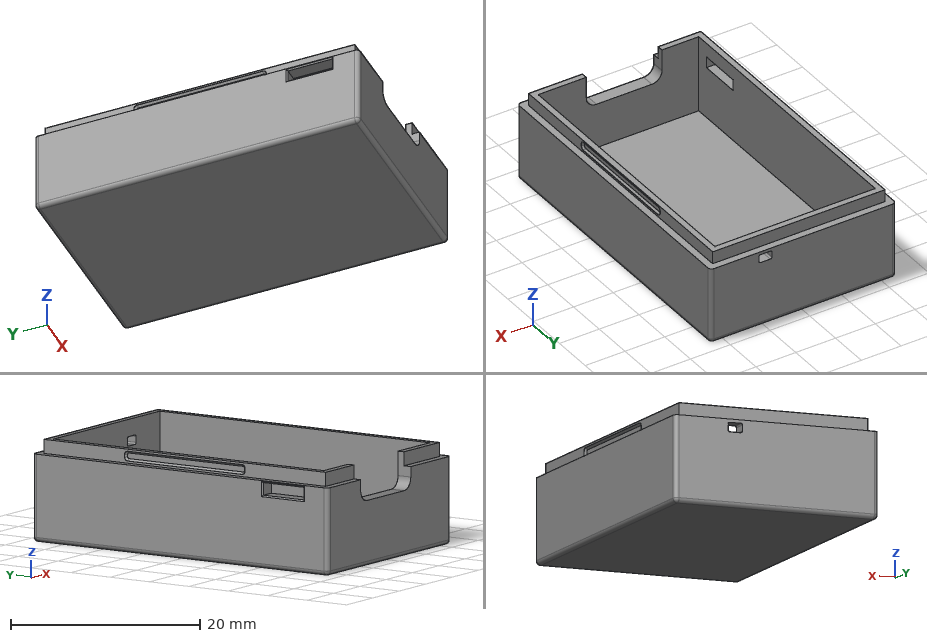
import cadquery as cq

width = 23.4
length = 37.5
height = 10.9
edge_radius = 0.5

rim_height = 1.5
rim_inset = 0.85
wall = 1.6
floor = 1.5
shoulder_z = height - rim_height

notch_width = 9.52
notch_depth = 3.9
notch_radius = 1.28
notch_x = -0.7

window_length = 5.45
window_height = 1.65
window_chamfer = 0.15
window_top_gap = 0.08
window_y = -13.05

groove_length = 15.3
groove_height = 1.05
groove_depth = 0.25
groove_corner = 0.4
groove_bevel = 0.22
groove_z = shoulder_z + rim_height / 2

hole_width = 1.6
hole_height = 1.0
hole_radius = 0.2
hole_x = 4.75
hole_z = 8.55


def block(size_x, size_y, bottom, top):
    """Box centred in X and Y between two heights."""
    return (
        cq.Workplane("XY", origin=(0, 0, bottom))
        .box(size_x, size_y, top - bottom, centered=(True, True, False))
    )


def make_shell():
    body = block(width, length, 0, shoulder_z)
    body = body.edges("|Z or <Z").fillet(edge_radius)
    rim = block(width - 2 * rim_inset, length - 2 * rim_inset, floor, height)
    cavity = block(width - 2 * wall, length - 2 * wall, floor, height)
    return body.union(rim).cut(cavity)


def make_notch():
    cutter = block(notch_width, 2 * wall, height - notch_depth, height)
    cutter = cutter.edges("|Y and <Z").fillet(notch_radius)
    return cutter.translate((notch_x, -length / 2, 0))


def make_window():
    center_z = shoulder_z - window_top_gap - window_height / 2
    outer_plane = cq.Workplane("YZ", origin=(-width / 2, window_y, center_z))
    opening_length = window_length - 2 * window_chamfer
    opening_height = window_height - 2 * window_chamfer
    opening = outer_plane.rect(opening_length, opening_height).extrude(wall)
    mouth = (
        outer_plane.rect(window_length, window_height)
        .workplane(offset=window_chamfer)
        .rect(opening_length, opening_height)
        .loft(ruled=True)
    )
    return opening.union(mouth)


def make_groove():
    """Bevelled groove cut inward from the -X face of the rim."""
    groove = (
        cq.Workplane("YZ", origin=(-width / 2 + rim_inset, 0, groove_z))
        .rect(groove_length, groove_height)
        .extrude(groove_depth)
    )
    groove = groove.edges("|X").fillet(groove_corner)
    return groove.faces(">X").chamfer(groove_bevel)


def make_hole():
    hole = cq.Workplane("XY").box(hole_width, 3 * wall, hole_height)
    hole = hole.edges("|Y").fillet(hole_radius)
    return hole.translate((hole_x, length / 2, hole_z))


groove = make_groove()
result = make_shell().cut(make_notch()).cut(make_window()).cut(make_hole())
result = result.cut(groove).cut(groove.mirror("YZ"))